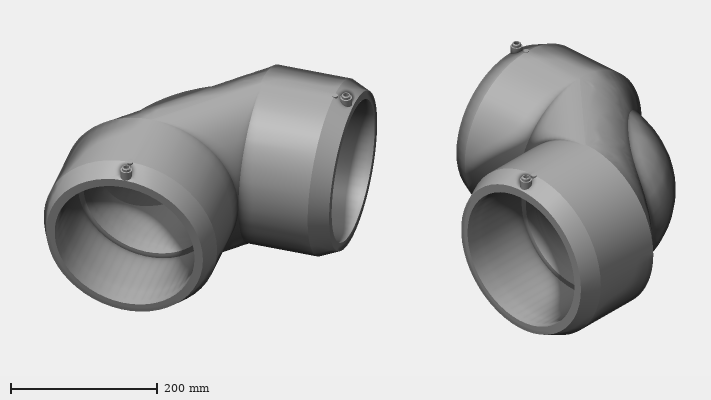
import cadquery as cq

outer_radius = 248 / 2
socket_bore_radius = 200 / 2
bend_bore_radius = 184 / 2
bend_radius = outer_radius
socket_start = outer_radius
socket_end = 250.0
socket_depth = 108.0
step_distance = socket_end - socket_depth
bevel_length = 27.0
bevel_depth = 12.0
bevel_start = socket_end - bevel_length
rim_radius = outer_radius - bevel_depth

outer_joint_x = 118.0

post_base = rim_radius
post_top = 125.0
terminal_radius = 16 / 2
neck_radius = 12 / 2
neck_top = 129.5
neck_chamfer = 1.0
well_radius = 8 / 2
well_depth = 10.0
contact_radius = 5 / 2
contact_top = post_top
indicator_radius = 8 / 2
indicator_distance = 224.0
x_terminal_distance = 240.0
y_terminal_distance = 242.02


def to_y_socket(shape):
    """Turn a shape made on the +X socket onto the -Y socket."""
    return shape.rotate((0, 0, 0), (0, 0, 1), -90)


def x_cylinder(radius, start, end):
    """Cylinder on the X axis between two distances."""
    return cq.Workplane("YZ", origin=(start, 0, 0)).circle(radius).extrude(end - start)


def make_socket(start):
    """Solid bevelled socket along +X, beginning at the given distance."""
    return (
        cq.Workplane("XY")
        .moveTo(start, 0)
        .lineTo(start, outer_radius)
        .lineTo(bevel_start, outer_radius)
        .lineTo(socket_end, rim_radius)
        .lineTo(socket_end, 0)
        .close()
        .revolve(360, (0, 0, 0), (1, 0, 0))
    )


def make_middle():
    """Slanted middle that carries the round end of the -Y socket across to the +X socket."""
    reach = 2 * outer_radius
    slant = cq.Vector(outer_joint_x + outer_radius, reach, 0)
    half_width = outer_radius * slant.y / slant.Length
    base = cq.Vector(0, -socket_start, 0) - slant
    section = cq.Plane(origin=base.toTuple(), xDir=(-slant.y, slant.x, 0), normal=slant.toTuple())
    slanted = cq.Workplane(section).ellipse(half_width, outer_radius).extrude(3 * slant.Length)
    limit = (
        cq.Workplane("XY")
        .polyline(
            [
                (-reach, -outer_radius),
                (outer_radius, -outer_radius),
                (outer_joint_x, outer_radius),
                (-reach, outer_radius),
            ]
        )
        .close()
        .extrude(reach, both=True)
    )
    return slanted.intersect(limit)


def make_bend():
    """Quarter torus that joins the two bores."""
    return (
        cq.Workplane("XZ", origin=(0, -socket_start, 0))
        .circle(bend_bore_radius)
        .revolve(90, (bend_radius, 0, 0), (bend_radius, -1, 0))
    )


def make_bore():
    """Stepped bore of the +X socket."""
    bend_bore = x_cylinder(bend_bore_radius, socket_start, step_distance)
    return bend_bore.union(x_cylinder(socket_bore_radius, step_distance, socket_end))


def make_post(radius, base, top, distance):
    """Upright cylinder above the X axis."""
    return cq.Workplane("XY", origin=(distance, 0, base)).circle(radius).extrude(top - base)


def make_fittings(terminal_distance):
    """Terminal with its sunken contact, and the indicator beside it."""
    neck = make_post(neck_radius, post_top, neck_top, terminal_distance).faces(">Z").chamfer(neck_chamfer)
    well_floor = neck_top - well_depth
    well = make_post(well_radius, well_floor, neck_top, terminal_distance)
    contact = make_post(contact_radius, well_floor, contact_top, terminal_distance)
    terminal = make_post(terminal_radius, post_base, post_top, terminal_distance).union(neck)
    indicator = make_post(indicator_radius, post_base, post_top, indicator_distance)
    return terminal.cut(well).union(contact), indicator


middle = make_middle()
bend = make_bend()
x_socket = make_socket(outer_joint_x)
y_socket = to_y_socket(make_socket(socket_start))
elbow = middle.union(x_socket).union(y_socket)
for fitting in make_fittings(x_terminal_distance):
    elbow = elbow.union(fitting)
for fitting in make_fittings(y_terminal_distance):
    elbow = elbow.union(to_y_socket(fitting))
elbow = elbow.cut(bend).cut(make_bore()).cut(to_y_socket(make_bore()))

bulge = bend.cut(middle).cut(x_socket)

result = cq.Compound.makeCompound([elbow.solids().val(), bulge.solids().val()])